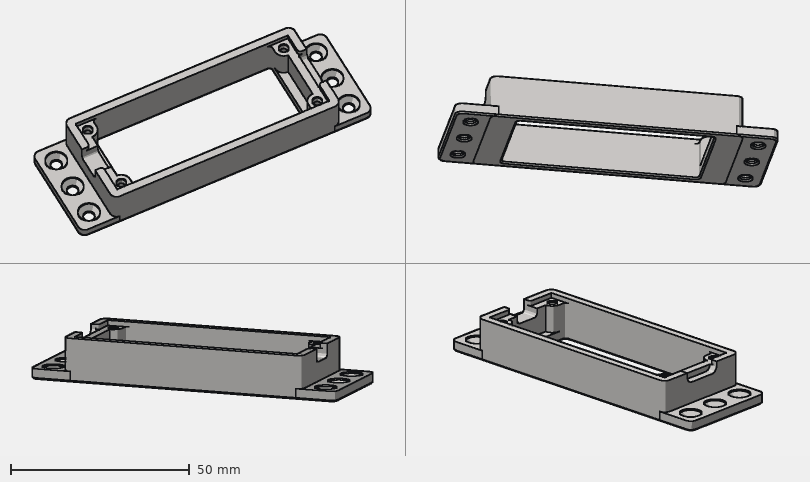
import cadquery as cq

WIDTH = 30.4
LENGTH = 91.8
HEIGHT = 12.5
CORNER_RADIUS = 2.0
BOTTOM_CHAMFER = 0.5

WALL = 2.5
TAB_REACH = 10.0
FRAME_LENGTH = LENGTH - 2 * TAB_REACH
CAVITY_WIDTH = WIDTH - 2 * WALL
CAVITY_LENGTH = FRAME_LENGTH - 2 * WALL
LID_RECESS = 1.5
SHELF_TOP = HEIGHT - LID_RECESS
BASE_THICKNESS = 3.0

BOSS_RADIUS = 2.75
BOSS_X = 10.3
BOSS_Y = 30.8
OPENING_LENGTH = 2 * (BOSS_Y - BOSS_RADIUS)
SMALL_RADIUS = 1.0
PILOT_HEAD_DIAMETER = 2.8
PILOT_DIAMETER = 1.8
PILOT_HEAD_DEPTH = 0.5
PILOT_CONE_DEPTH = 1.0
PILOT_DEPTH = 5.5

FRONT_NOTCH_DEPTH = 3.95
FRONT_NOTCH_WIDTH = 8.1
FRONT_NOTCH_RADIUS = 1.1
BACK_NOTCH_DEPTH = 3.2
BACK_NOTCH_WIDTH = 12.1
BACK_NOTCH_RADIUS = 2.0

SCREW_PITCH = 10.0
SCREW_Y = (LENGTH - TAB_REACH) / 2
SCREW_DIAMETER = 3.3
SCREW_HEAD_DIAMETER = 6.2
SCREW_HEAD_DEPTH = 0.5
SCREW_CONE_DEPTH = (SCREW_HEAD_DIAMETER - SCREW_DIAMETER) / 2


def box(width, length, bottom, top, y=0.0):
    """Upright box centred on X = 0 and on the given Y."""
    return (
        cq.Workplane("XY", origin=(0, y, bottom))
        .rect(width, length)
        .extrude(top - bottom)
    )


def rounded_box(width, length, bottom, top, radius):
    """Centred box with rounded upright edges."""
    return box(width, length, bottom, top).edges("|Z").fillet(radius)


def opening():
    """Central window through the whole frame."""
    return rounded_box(CAVITY_WIDTH, OPENING_LENGTH, 0, HEIGHT, SMALL_RADIUS)


def base_plate():
    """Full-length open plate, chamfered round its bottom, shared out between frame and tabs."""
    plate = rounded_box(WIDTH, LENGTH, 0, BASE_THICKNESS, CORNER_RADIUS).cut(opening())
    return plate.faces("<Z").chamfer(BOTTOM_CHAMFER)


def frame_block():
    """Full-height outer shape of the frame."""
    return rounded_box(WIDTH, FRAME_LENGTH, 0, HEIGHT, CORNER_RADIUS)


def cylinder(diameter, bottom, top):
    """Upright cylinder on the Z axis."""
    return cq.Solid.makeCylinder(diameter / 2, top - bottom, pnt=cq.Vector(0, 0, bottom))


def cone(top_diameter, bottom_diameter, top, depth):
    """Upright truncated cone on the Z axis, reaching down from its top."""
    return cq.Solid.makeCone(
        bottom_diameter / 2, top_diameter / 2, depth, pnt=cq.Vector(0, 0, top - depth)
    )


def boss_pocket(side):
    """Space above the end ledge, between the two bosses of one end."""
    pocket_y = side * (BOSS_Y - BOSS_RADIUS / 2)
    pocket = box(2 * BOSS_X, BOSS_RADIUS, BASE_THICKNESS, SHELF_TOP, pocket_y)
    bosses = (
        cq.Workplane("XY", origin=(0, 0, BASE_THICKNESS))
        .pushPoints([(-BOSS_X, side * BOSS_Y), (BOSS_X, side * BOSS_Y)])
        .circle(BOSS_RADIUS)
        .extrude(SHELF_TOP - BASE_THICKNESS)
    )
    return pocket.cut(bosses)


def pilot_hole():
    """Blind, countersunk hole for a lid screw."""
    shaft = cylinder(PILOT_DIAMETER, SHELF_TOP - PILOT_DEPTH, SHELF_TOP)
    cone_top = SHELF_TOP - PILOT_HEAD_DEPTH
    head = cylinder(PILOT_HEAD_DIAMETER, cone_top, SHELF_TOP)
    countersink = cone(PILOT_HEAD_DIAMETER, PILOT_DIAMETER, cone_top, PILOT_CONE_DEPTH)
    return cq.Workplane(shaft.fuse(countersink).fuse(head))


def notch(width, depth, radius, inner_y, outer_y):
    """Open-topped slot with rounded floor corners."""
    slot = box(width, abs(outer_y - inner_y), HEIGHT - depth, HEIGHT, (inner_y + outer_y) / 2)
    return slot.faces("<Z").edges("|Y").fillet(radius)


def notch_mouth(width, side):
    """Material removed to round the upright inner corners of a notch, above the shelf."""
    inner_y = side * CAVITY_LENGTH / 2
    flare = box(width + 2 * SMALL_RADIUS, SMALL_RADIUS, SHELF_TOP, HEIGHT, inner_y + side * SMALL_RADIUS / 2)
    corner_x = width / 2 + SMALL_RADIUS
    corner_y = inner_y + side * SMALL_RADIUS
    corners = (
        cq.Workplane("XY", origin=(0, 0, SHELF_TOP))
        .pushPoints([(-corner_x, corner_y), (corner_x, corner_y)])
        .circle(SMALL_RADIUS)
        .extrude(LID_RECESS)
    )
    return flare.cut(corners)


def make_frame():
    """Open frame with ledges, lid screw bosses and a cable notch at each end."""
    walls = rounded_box(WIDTH, FRAME_LENGTH, BASE_THICKNESS, HEIGHT, CORNER_RADIUS)
    frame = base_plate().intersect(frame_block()).union(walls)

    frame = frame.cut(opening())
    frame = frame.cut(box(CAVITY_WIDTH, CAVITY_LENGTH, SHELF_TOP, HEIGHT))

    for side in (-1, 1):
        frame = frame.cut(boss_pocket(side))
        for x in (-BOSS_X, BOSS_X):
            frame = frame.cut(pilot_hole().translate((x, side * BOSS_Y, 0)))

    outer_y = FRAME_LENGTH / 2
    inner_y = CAVITY_LENGTH / 2
    front_notch = notch(FRONT_NOTCH_WIDTH, FRONT_NOTCH_DEPTH, FRONT_NOTCH_RADIUS, -BOSS_Y, -outer_y)
    back_notch = notch(BACK_NOTCH_WIDTH, BACK_NOTCH_DEPTH, BACK_NOTCH_RADIUS, inner_y, outer_y)
    frame = frame.cut(front_notch).cut(notch_mouth(FRONT_NOTCH_WIDTH, -1))
    frame = frame.cut(back_notch).cut(notch_mouth(BACK_NOTCH_WIDTH, 1))
    return frame


def screw_hole():
    """Countersunk through hole, chamfered at its lower end."""
    shaft = cylinder(SCREW_DIAMETER, 0, BASE_THICKNESS)
    cone_top = BASE_THICKNESS - SCREW_HEAD_DEPTH
    head = cylinder(SCREW_HEAD_DIAMETER, cone_top, BASE_THICKNESS)
    countersink = cone(SCREW_HEAD_DIAMETER, SCREW_DIAMETER, cone_top, SCREW_CONE_DEPTH)
    exit_diameter = SCREW_DIAMETER + 2 * BOTTOM_CHAMFER
    exit_chamfer = cone(SCREW_DIAMETER, exit_diameter, BOTTOM_CHAMFER, BOTTOM_CHAMFER)
    return cq.Workplane(shaft.fuse(countersink).fuse(head).fuse(exit_chamfer))


def make_tab(side):
    """Mounting tab that wraps the rounded corners of one end of the frame."""
    end_half = box(WIDTH, LENGTH / 2, 0, BASE_THICKNESS, side * LENGTH / 4)
    tab = base_plate().intersect(end_half).cut(frame_block())
    for x in (-SCREW_PITCH, 0, SCREW_PITCH):
        tab = tab.cut(screw_hole().translate((x, side * SCREW_Y, 0)))
    return tab


frame = make_frame()
tabs = [make_tab(side) for side in (-1, 1)]

result = cq.Compound.makeCompound([frame.val(), *[tab.val() for tab in tabs]])